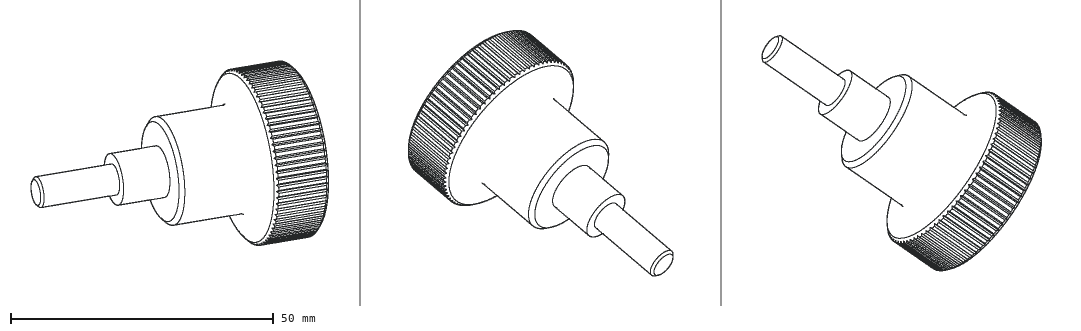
import cadquery as cq
import math


head_radius = 17.0
head_length = 11.2
head_chamfer = 0.7
hub_radius = 10.5
knob_length = 28.0
hub_chamfer = 0.85
hub_fillet = 2.1

groove_count = 80
groove_depth = 0.3
groove_angle = 90.0

shoulder_radius = 5.0
shoulder_length = 9.5
pin_radius = 3.0
pin_length = 16.0
pin_chamfer = 0.5


def cylinder_along_y(radius, start_y, length):
    """Cylinder on the Y axis that runs from start_y towards +Y."""
    return cq.Workplane("XZ", origin=(0, start_y, 0)).circle(radius).extrude(-length)


def make_knurl_grooves():
    """V-shaped cutters, one per groove, that run the full length of the head."""
    overshoot = 0.5
    root_radius = head_radius - groove_depth
    outer_radius = head_radius + overshoot
    half_width = (outer_radius - root_radius) * math.tan(math.radians(groove_angle / 2))
    first_groove = (
        cq.Workplane("XZ", origin=(0, knob_length - head_length, 0))
        .moveTo(0, root_radius)
        .lineTo(half_width, outer_radius)
        .lineTo(-half_width, outer_radius)
        .close()
        .extrude(-head_length)
        .val()
    )
    pitch_angle = 360.0 / groove_count
    return [
        first_groove.rotate((0, 0, 0), (0, 1, 0), index * pitch_angle)
        for index in range(groove_count)
    ]


def make_knob():
    """Revolved head and hub with a fillet between them, then knurled."""
    head_front = knob_length - head_length
    fillet_middle = hub_fillet * (1 - math.sqrt(0.5))
    blank = (
        cq.Workplane("XY")
        .moveTo(0, 0)
        .lineTo(hub_radius - hub_chamfer, 0)
        .lineTo(hub_radius, hub_chamfer)
        .lineTo(hub_radius, head_front - hub_fillet)
        .threePointArc(
            (hub_radius + fillet_middle, head_front - fillet_middle),
            (hub_radius + hub_fillet, head_front),
        )
        .lineTo(head_radius - head_chamfer, head_front)
        .lineTo(head_radius, head_front + head_chamfer)
        .lineTo(head_radius, knob_length - head_chamfer)
        .lineTo(head_radius - head_chamfer, knob_length)
        .lineTo(0, knob_length)
        .close()
        .revolve(360, (0, 0, 0), (0, 1, 0))
    )
    grooves = cq.Workplane(cq.Compound.makeCompound(make_knurl_grooves()))
    return blank.cut(grooves)


def make_stud():
    """Shoulder with a chamfered pin in front of it."""
    shoulder = cylinder_along_y(shoulder_radius, -shoulder_length, shoulder_length)
    pin_start = -shoulder_length - pin_length
    pin = cylinder_along_y(pin_radius, pin_start, pin_length).faces("<Y").edges().chamfer(pin_chamfer)
    return shoulder.union(pin)


knob = make_knob()
stud = make_stud()
result = cq.Compound.makeCompound([knob.val(), stud.val()])